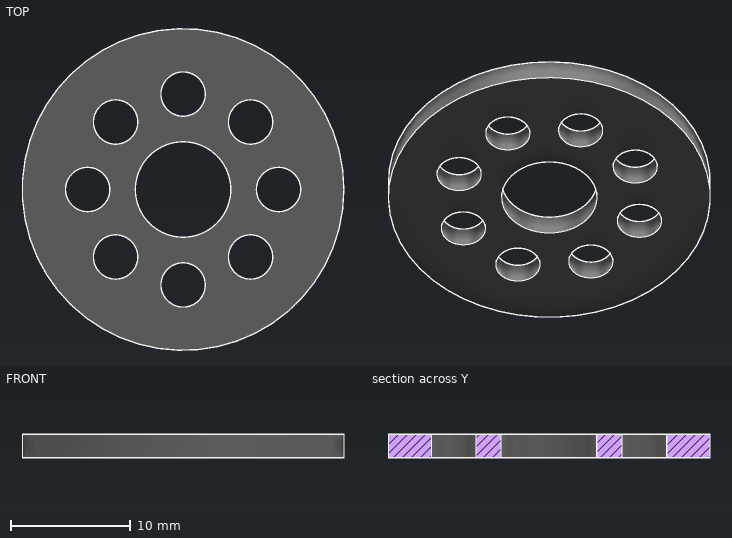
import cadquery as cq

disc_diameter = 27.0
disc_thickness = 2.0
bore_diameter = 8.0
hole_count = 8
hole_diameter = 3.7
hole_circle_diameter = 16.0

disc = cq.Workplane("XY").circle(disc_diameter / 2).extrude(disc_thickness)

bored_disc = disc.faces(">Z").workplane().hole(bore_diameter)

result = (
    bored_disc.faces(">Z")
    .workplane()
    .polarArray(hole_circle_diameter / 2, 0, 360, hole_count)
    .hole(hole_diameter)
)